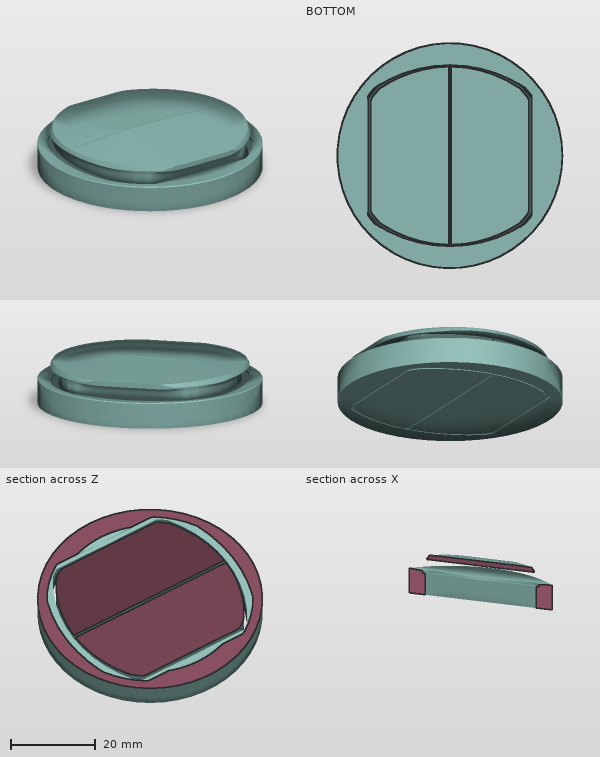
import cadquery as cq

RING_RADIUS = 26.5
RING_HEIGHT = 6.2
RIM_CHAMFER = 0.2
DISH_RADIUS = 22.4
DISH_HEIGHT = 5.7
DISH_INNER_RADIUS = 18.55
DISH_INNER_HEIGHT = 5.15
STEP_FLOOR = 5.35

STEM_CORNER_RADIUS = 22.85
STEM_HALF_WIDTH = 18.6
STEM_HALF_LENGTH = 20.95
STEM_END_RADIUS = 29.15
STEM_FILLET = 2.1
STEM_CLEARANCE = 0.65
OPENING_CORNER_RADIUS = 23.8
OPENING_HALF_LENGTH = 21.3
OPENING_END_RADIUS = 31.8
OPENING_FILLET = 1.05
STEP_CORNER_RADIUS = 24.15
STEP_HALF_WIDTH = 20.25
STEP_HALF_LENGTH = 22.95
STEP_END_RADIUS = 36.05
STEP_FILLET = 2.1
STEM_TOP = 9.55
STEM_GAP = 0.65

CAP_GAP = 0.15
CAP_HALF_WIDTH = 21.95
CAP_TOP_RADIUS = 23.05
CAP_BOTTOM_RADIUS = 23.6
CAP_CORNER_RADIUS = 12.7
CAP_FLARE_BOTTOM = 9.0
CAP_FLARE_TOP = 10.05
RIDGE_HEIGHT = 11.2
RIDGE_HALF_LENGTH = 7.4
ROOF_SLOPE = 0.061
ROOF_BASE_RADIUS = RIDGE_HEIGHT / ROOF_SLOPE
UNDERSIDE_CENTRE_HEIGHT = 9.0
UNDERSIDE_SIDE_HEIGHT = 8.7
END_RISE_START = 20.95
END_RISE_SLOPE = 0.14

REACH = 31.8


def flat_sided_disc(radius, half_width, bottom, top):
    """Upright disc cut flat at +-X."""
    base = cq.Workplane("XY").workplane(offset=bottom)
    disc = base.circle(radius).extrude(top - bottom)
    return disc.intersect(base.rect(2 * half_width, 2 * REACH).extrude(top - bottom))


def pad_prism(corner_radius, half_width, half_length, end_radius, fillet, bottom, top):
    """Prism of a circle with flat sides at +-X and bowed ends at +-Y."""
    prism = flat_sided_disc(corner_radius, half_width, bottom, top)
    base = cq.Workplane("XY").workplane(offset=bottom)
    for side in (-1, 1):
        arc_centre = side * (half_length - end_radius)
        prism = prism.intersect(base.center(0, arc_centre).circle(end_radius).extrude(top - bottom))
    return prism.edges("|Z").fillet(fillet)


def make_ring():
    rim_top_radius = RING_RADIUS - RIM_CHAMFER
    body = (
        cq.Workplane("XZ")
        .moveTo(0, 0)
        .lineTo(RING_RADIUS, 0)
        .lineTo(RING_RADIUS, RING_HEIGHT - RIM_CHAMFER)
        .lineTo(rim_top_radius, RING_HEIGHT)
        .lineTo(DISH_RADIUS, DISH_HEIGHT)
        .lineTo(DISH_INNER_RADIUS, DISH_INNER_HEIGHT)
        .lineTo(0, DISH_INNER_HEIGHT)
        .close()
        .revolve(360, (0, 0, 0), (0, 1, 0))
    )
    opening = pad_prism(
        OPENING_CORNER_RADIUS,
        STEM_HALF_WIDTH + STEM_CLEARANCE,
        OPENING_HALF_LENGTH,
        OPENING_END_RADIUS,
        OPENING_FILLET,
        0,
        RING_HEIGHT,
    )
    step = pad_prism(
        STEP_CORNER_RADIUS,
        STEP_HALF_WIDTH,
        STEP_HALF_LENGTH,
        STEP_END_RADIUS,
        STEP_FILLET,
        STEP_FLOOR,
        RING_HEIGHT,
    )
    return body.cut(opening).cut(step)


def roof_cone(y):
    """Cone with its tip on the ridge line, reaching down to z = 0."""
    return cq.Workplane(cq.Solid.makeCone(ROOF_BASE_RADIUS, 0, RIDGE_HEIGHT, pnt=cq.Vector(0, y, 0)))


def make_roof():
    """Everything below the cap top: two cones joined by a straight ridge."""
    ridge = (
        cq.Workplane("XZ", origin=(0, RIDGE_HALF_LENGTH, 0))
        .polyline([(-ROOF_BASE_RADIUS, 0), (ROOF_BASE_RADIUS, 0), (0, RIDGE_HEIGHT)])
        .close()
        .extrude(2 * RIDGE_HALF_LENGTH)
    )
    return ridge.union(roof_cone(RIDGE_HALF_LENGTH)).union(roof_cone(-RIDGE_HALF_LENGTH))


def make_underside():
    """Everything below the caps: slopes down toward +-X and up toward the ends in Y."""
    side_slope = (UNDERSIDE_CENTRE_HEIGHT - UNDERSIDE_SIDE_HEIGHT) / CAP_HALF_WIDTH
    reach_height = UNDERSIDE_CENTRE_HEIGHT - side_slope * REACH
    below = (
        cq.Workplane("XZ", origin=(0, REACH, 0))
        .polyline([
            (-REACH, 0), (REACH, 0), (REACH, reach_height),
            (0, UNDERSIDE_CENTRE_HEIGHT), (-REACH, reach_height),
        ])
        .close()
        .extrude(2 * REACH)
    )
    rise_foot = END_RISE_START - UNDERSIDE_CENTRE_HEIGHT / END_RISE_SLOPE
    end_height = END_RISE_SLOPE * (REACH - rise_foot)
    for side in (-1, 1):
        wedge = (
            cq.Workplane("YZ", origin=(-REACH, 0, 0))
            .polyline([(side * rise_foot, 0), (side * REACH, 0), (side * REACH, end_height)])
            .close()
            .extrude(2 * REACH)
        )
        below = below.union(wedge)
    return below


def make_caps():
    """Both caps as one flared disc with flat sides, before the split."""
    flare = (CAP_BOTTOM_RADIUS - CAP_TOP_RADIUS) / (CAP_FLARE_TOP - CAP_FLARE_BOTTOM)
    foot_radius = CAP_BOTTOM_RADIUS + flare * CAP_FLARE_BOTTOM
    tip_radius = foot_radius - flare * RIDGE_HEIGHT
    disc = cq.Workplane(cq.Solid.makeCone(foot_radius, tip_radius, RIDGE_HEIGHT))
    outline = flat_sided_disc(CAP_BOTTOM_RADIUS, CAP_HALF_WIDTH, 0, RIDGE_HEIGHT)
    outline = outline.edges("|Z").fillet(CAP_CORNER_RADIUS)
    return disc.intersect(outline).intersect(make_roof()).cut(make_underside())


def half_space(side, gap):
    """Block on one side of the split, half a gap away from it."""
    width = REACH - gap / 2
    block = cq.Workplane("XY").box(width, 2 * REACH, REACH, centered=(True, True, False))
    return block.translate((side * (gap + width) / 2, 0, 0))


def make_button(side):
    cap = make_caps().intersect(half_space(side, CAP_GAP))
    stem = pad_prism(
        STEM_CORNER_RADIUS,
        STEM_HALF_WIDTH,
        STEM_HALF_LENGTH,
        STEM_END_RADIUS,
        STEM_FILLET,
        0,
        STEM_TOP,
    )
    stem = stem.intersect(half_space(side, STEM_GAP))
    return cap.union(stem)


ring = make_ring()
buttons = [make_button(side) for side in (-1, 1)]
result = cq.Compound.makeCompound([ring.val(), *[button.val() for button in buttons]])